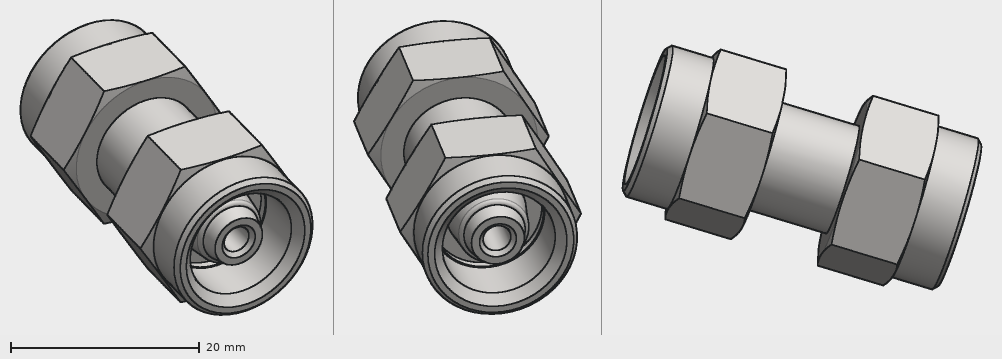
import cadquery as cq
import math

length = 35.0
half_length = length / 2

collar_radius = 8.4
collar_length = 5.0
collar_chamfer = 0.5
hex_across_flats = 17.0
hex_corner_radius = hex_across_flats / math.sqrt(3)
hex_length = 8.0
nut_length = collar_length + hex_length
hex_chamfer_depth = 0.35
hex_chamfer_radius = hex_across_flats / 2

bore_radius = 6.12
bore_depth = 6.58
mouth_radius = 7.18
mouth_depth = mouth_radius - bore_radius

tube_radius = 6.0
shoulder_depth = 7.5
nose_root_radius = 4.3
nose_rim_radius = 3.8
nose_rim_rounding = 0.5
tip_depth = 1.5
tip_length = 1.8
tip_radius = 2.87
tip_root_radius = nose_rim_radius - nose_rim_rounding
through_radius = 1.5
countersink = 0.5


def make_left_nut():
    """Nut at the -X end, its outer face at x = -half_length."""
    start = -half_length
    hex_start = start + collar_length
    end = start + nut_length

    collar = (
        cq.Workplane("YZ", origin=(start, 0, 0))
        .circle(collar_radius)
        .extrude(collar_length)
        .faces("<X")
        .chamfer(collar_chamfer)
    )

    hexagon = (
        cq.Workplane("YZ", origin=(hex_start, 0, 0))
        .polygon(6, 2 * hex_corner_radius)
        .extrude(hex_length)
    )
    envelope = (
        cq.Workplane("XY")
        .moveTo(hex_start, 0)
        .lineTo(hex_start, hex_chamfer_radius)
        .lineTo(hex_start + hex_chamfer_depth, hex_corner_radius)
        .lineTo(end - hex_chamfer_depth, hex_corner_radius)
        .lineTo(end, hex_chamfer_radius)
        .lineTo(end, 0)
        .close()
        .revolve(360, (0, 0, 0), (1, 0, 0))
    )

    opening = (
        cq.Workplane("XY")
        .moveTo(start, 0)
        .lineTo(start, mouth_radius)
        .lineTo(start + mouth_depth, bore_radius)
        .lineTo(start + bore_depth, bore_radius)
        .lineTo(start + bore_depth, tube_radius)
        .lineTo(end, tube_radius)
        .lineTo(end, 0)
        .close()
        .revolve(360, (0, 0, 0), (1, 0, 0))
    )
    return collar.union(hexagon.intersect(envelope)).cut(opening).solids()


def make_left_nose():
    """Turned nose at the -X end, still solid along its axis."""
    tip_x = -half_length + tip_depth
    rim_x = tip_x + tip_length
    shoulder_x = -half_length + shoulder_depth
    quarter_offset = nose_rim_rounding * (1 - math.sqrt(0.5))

    return (
        cq.Workplane("XY")
        .moveTo(tip_x, 0)
        .lineTo(tip_x, tip_radius)
        .lineTo(rim_x, tip_root_radius)
        .threePointArc(
            (rim_x + quarter_offset, nose_rim_radius - quarter_offset),
            (rim_x + nose_rim_rounding, nose_rim_radius),
        )
        .lineTo(shoulder_x, nose_root_radius)
        .lineTo(shoulder_x, 0)
        .close()
        .revolve(360, (0, 0, 0), (1, 0, 0))
    )


def make_connector_body():
    """Plain tube with a nose at each end and one hole through everything."""
    tip_x = half_length - tip_depth
    tube_half_length = half_length - shoulder_depth
    body = (
        cq.Workplane("YZ", origin=(-tube_half_length, 0, 0))
        .circle(tube_radius)
        .extrude(2 * tube_half_length)
    )
    left_nose = make_left_nose()
    body = body.union(left_nose).union(left_nose.mirror("YZ"))

    through_hole = (
        cq.Workplane("XY")
        .moveTo(-tip_x, 0)
        .lineTo(-tip_x, through_radius + countersink)
        .lineTo(-tip_x + countersink, through_radius)
        .lineTo(tip_x - countersink, through_radius)
        .lineTo(tip_x, through_radius + countersink)
        .lineTo(tip_x, 0)
        .close()
        .revolve(360, (0, 0, 0), (1, 0, 0))
    )
    return body.cut(through_hole).solids()


connector_body = make_connector_body()

nuts = []
for turn in (0, 180):
    nuts.append(make_left_nut().rotate((0, 0, 0), (0, 0, 1), turn))

result = cq.Compound.makeCompound([connector_body.val(), *[nut.val() for nut in nuts]])